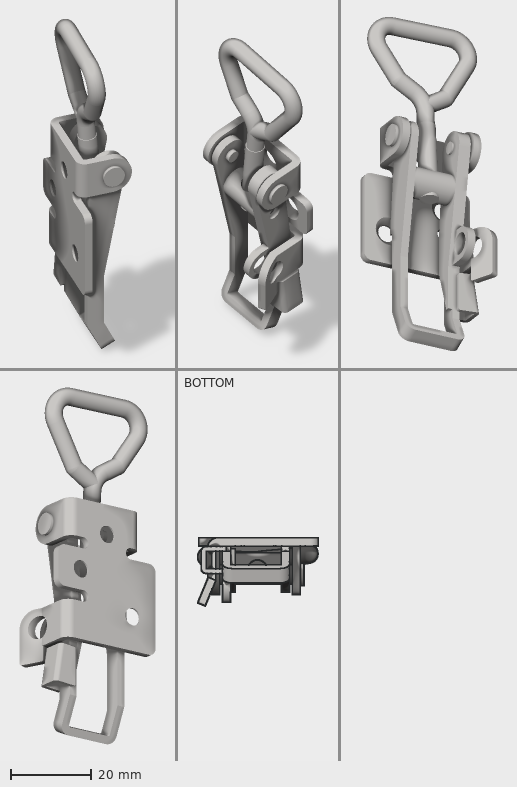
import cadquery as cq
import math


SHEET = 2.1
BEND_OUTER = 2.5
BEND_INNER = BEND_OUTER - SHEET

PLATE_LEFT = -14.3
PLATE_RIGHT = 15.6
PLATE_HEIGHT = 37.0
PLATE_CORNER_R = 2.0
MOUNT_HOLE_R = 2.25
SINK_LAND = 0.5
SINK_R = MOUNT_HOLE_R + SHEET - SINK_LAND
MOUNT_HOLES = [(0.7, 29.1), (-7.4, 18.5), (8.6, 9.0)]
EAR_HEIGHT = 10.0
SLOT_WIDTH = 3.0
LEFT_SLOT_END = -5.1
RIGHT_SLOT_END = 6.5
UPPER_SLOT_TOP = PLATE_HEIGHT - EAR_HEIGHT
TAB_TOP = UPPER_SLOT_TOP - SLOT_WIDTH
TAB_BOTTOM = EAR_HEIGHT + SLOT_WIDTH

EAR_OUTER_X = 11.1
PIVOT_Y = 9.2
PIVOT_Z = PLATE_HEIGHT - EAR_HEIGHT / 2

LOCK_EAR_OUTER_X = 12.1
LOCK_EAR_INNER_X = LOCK_EAR_OUTER_X - SHEET
LOCK_BEND_Y = 10.6
LOCK_LEAF_ANGLE = 22.5
LOCK_LEAF_LENGTH = 6.9
LOCK_LEAF_DROP = 4.1
LOCK_LEAF_TOP_R = 4.7
LOCK_LEAF_BOTTOM_R = 0.6
LOCK_HOLE_R = 3.0
LOCK_HOLE_Y = 11.0
LOCK_HOLE_Z = EAR_HEIGHT / 2

ARM_OUTER_X = 8.4
ARM_INNER_X = ARM_OUTER_X - SHEET
PIVOT_EAR_R = 4.4
ARM_FRONT_Y = 3.3
ARM_BACK_Y = 7.75
ARM_BEND_Z = -13.9
HANDLE_ANGLE = 25.5
HANDLE_LENGTH = 10.1
WIDE_FRONT_Y = 2.2
WIDE_FRONT_Z = 7.9
LEVER_LOCK_Y = 11.7
LEVER_LOCK_HOLE_R = 2.9

RIVET_HEAD_R = 2.8
RIVET_HEAD_HEIGHT = 0.9
RIVET_SHOULDER_R = 2.4
RIVET_SHANK_R = 1.6
LEFT_RIVET_TIP_X = 4.6
RIGHT_RIVET_TIP_X = 5.1

TRUNNION_Y = 7.7
TRUNNION_Z = 21.1
TRUNNION_R = 4.0
TRUNNION_PIN_R = 1.7
TRUNNION_TIP_R = 1.35
TRUNNION_TIP_REACH = 0.7
THREAD_MOUTH_R = 2.7

CATCH_THICKNESS = 1.2
CATCH_INNER_X = ARM_INNER_X - CATCH_THICKNESS
CATCH_FRONT_Y = 2.8
CATCH_BEND_Z = 9.0
CATCH_TIP_FRONT_Y = 6.8
CATCH_BOTTOM_Z = -11.45

CLIP_WALL = 1.2
CLIP_LIP_X = -7.5
CLIP_TOP_Z = -1.2
CLIP_TOP_X = -12.1
CLIP_BOTTOM_X = -13.7
CLIP_BOTTOM_Z = -11.4
CLIP_LIP_DROP = 0.45
CLIP_LIP_CORNER = 0.5

BOLT_X = 0.4
WIRE_R = 2.25
THREAD_R = 2.4
THREAD_TOP_Z = 38.1
THREAD_BOTTOM_Z = TRUNNION_Z - TRUNNION_R
FORK_Z = 42.1
FORK_R = 6.1
LEFT_TIP = (0.6, 43.7)
LEFT_KINK = (-5.4, 47.2)
RIGHT_KINK = (7.6, 49.95)
LOOP_R = 4.8
LOOP_TOP_Z = 65.0
LOOP_LEFT_X = -7.6
LOOP_RIGHT_X = 8.5
BOLT_LEAN = 4.8
LOOP_TURN = -1.8


def cylinder_x(x_start, x_end, radius, y, z):
    """Round bar parallel to X."""
    return cq.Workplane("YZ", origin=(x_start, y, z)).circle(radius).extrude(x_end - x_start)


def block(x_range, y_range, z_range):
    """Box between two limits on each axis."""
    limits = (x_range, y_range, z_range)
    sizes = [high - low for low, high in limits]
    corner = [low for low, high in limits]
    return cq.Workplane("XY").box(*sizes, centered=False).translate(tuple(corner))


def bent_ear(outer_x, root_x, z_low, z_high, reach_y):
    """Sheet strip running from root_x along the plate and bent up at the left, outer face at -outer_x."""
    ear = block((-outer_x, root_x), (0, reach_y), (z_low, z_high))
    ear = ear.edges("|Z and <X and <Y").fillet(BEND_OUTER)
    inside = block((SHEET - outer_x, root_x), (SHEET, reach_y), (z_low, z_high))
    return ear.cut(inside.edges("|Z and <X and <Y").fillet(BEND_INNER))


def make_plate():
    """Flat of the base with its relief slots."""
    upper_half_width = EAR_OUTER_X - BEND_OUTER
    slot_r = SLOT_WIDTH / 2
    body = block((LEFT_SLOT_END - slot_r, PLATE_RIGHT), (0, SHEET), (0, TAB_TOP))
    body = body.edges("|Y and >X").fillet(PLATE_CORNER_R)
    tab = block((PLATE_LEFT, 0), (0, SHEET), (TAB_BOTTOM, TAB_TOP))
    tab = tab.edges("|Y and <X").fillet(PLATE_CORNER_R)
    neck = block((-upper_half_width, upper_half_width), (0, SHEET), (TAB_TOP - slot_r, PLATE_HEIGHT))
    foot = block((-LOCK_EAR_OUTER_X + BEND_OUTER, 0), (0, SHEET), (0, EAR_HEIGHT))
    plate = body.union(tab).union(neck).union(foot)

    left_slot_x = LEFT_SLOT_END - slot_r
    right_slot_x = RIGHT_SLOT_END + slot_r
    slot_ends = [
        (left_slot_x, UPPER_SLOT_TOP - slot_r, PLATE_LEFT),
        (left_slot_x, TAB_BOTTOM - slot_r, PLATE_LEFT),
        (right_slot_x, UPPER_SLOT_TOP - slot_r, PLATE_RIGHT),
    ]
    for end_x, middle_z, edge_x in slot_ends:
        plate = plate.cut(round_y(end_x, middle_z, slot_r))
        x_range = (min(end_x, edge_x), max(end_x, edge_x))
        plate = plate.cut(block(x_range, (0, SHEET), (middle_z - slot_r, middle_z + slot_r)))
    return plate


def round_y(x, z, radius):
    """Straight round cutter through the plate's thickness."""
    return cq.Workplane("XZ", origin=(x, 0, z)).circle(radius).extrude(-SHEET)


def mount_hole(x, z):
    """Cutter for a mounting hole countersunk from the lever's side."""
    straight = round_y(x, z, MOUNT_HOLE_R)
    sink = (
        cq.Workplane("XZ", origin=(x, SINK_LAND, z))
        .circle(MOUNT_HOLE_R)
        .workplane(offset=SINK_LAND - SHEET)
        .circle(SINK_R)
        .loft()
    )
    return straight.union(sink)


def make_pivot_ear():
    """Left upper ear with its rounded end and rivet hole."""
    end_r = EAR_HEIGHT / 2
    ear = bent_ear(EAR_OUTER_X, LEFT_SLOT_END, UPPER_SLOT_TOP, PLATE_HEIGHT, PIVOT_Y)
    inner_x = SHEET - EAR_OUTER_X
    ear = ear.union(cylinder_x(-EAR_OUTER_X, inner_x, end_r, PIVOT_Y, PIVOT_Z))
    return ear.cut(cylinder_x(-EAR_OUTER_X, inner_x, RIVET_SHOULDER_R, PIVOT_Y, PIVOT_Z))


def make_lock_ear():
    """Lower ear whose end leaf turns outwards and has a padlock hole across the bend."""
    ear = bent_ear(LOCK_EAR_OUTER_X, LEFT_SLOT_END, 0, EAR_HEIGHT, LOCK_BEND_Y)
    leaf = block(
        (-LOCK_EAR_OUTER_X, -LOCK_EAR_INNER_X),
        (LOCK_BEND_Y, LOCK_BEND_Y + LOCK_LEAF_LENGTH),
        (-LOCK_LEAF_DROP, EAR_HEIGHT),
    )
    leaf = leaf.edges("|X and >Y and >Z").fillet(LOCK_LEAF_TOP_R)
    leaf = leaf.edges("|X and <Z").fillet(LOCK_LEAF_BOTTOM_R)
    hinge_low = (-LOCK_EAR_INNER_X, LOCK_BEND_Y, 0)
    hinge_high = (-LOCK_EAR_INNER_X, LOCK_BEND_Y, 1)
    bent_leaf = leaf.rotate(hinge_low, hinge_high, LOCK_LEAF_ANGLE)
    leaf_tip_x = -LOCK_EAR_OUTER_X - LOCK_LEAF_LENGTH
    hole = cylinder_x(leaf_tip_x, -LOCK_EAR_INNER_X, LOCK_HOLE_R, LOCK_HOLE_Y, LOCK_HOLE_Z)
    return ear.union(bent_leaf).cut(hole)


def make_base():
    pivot_ear = make_pivot_ear()
    base = make_plate().union(pivot_ear).union(pivot_ear.mirror("YZ")).union(make_lock_ear())
    for x, z in MOUNT_HOLES:
        base = base.cut(mount_hole(x, z))
    return base


def back_tangent_point():
    """Point (y, z) where the straight back edge of the arm meets its pivot ear."""
    return tangent_point((ARM_BACK_Y, 0), (PIVOT_Y, PIVOT_Z), PIVOT_EAR_R, 1)


def tangent_point(start, centre, radius, side):
    """Where a line from start touches a circle; side +1 keeps the circle on the line's left, -1 right."""
    across = centre[0] - start[0]
    up = centre[1] - start[1]
    distance = math.hypot(across, up)
    bearing = math.atan2(up, across) - side * math.asin(radius / distance)
    length = math.sqrt(distance**2 - radius**2)
    return (start[0] + length * math.cos(bearing), start[1] + length * math.sin(bearing))


def make_lever():
    """U-shaped lever: two pivoting arms joined by a handle bar that is bent away from the base."""
    slope = math.radians(HANDLE_ANGLE)
    outward, down = math.sin(slope), -math.cos(slope)
    tip_y = ARM_FRONT_Y + HANDLE_LENGTH * outward
    tip_z = ARM_BEND_Z + HANDLE_LENGTH * down
    handle_width = (ARM_BACK_Y - ARM_FRONT_Y) * math.cos(slope)
    tip_back = (tip_y - handle_width * down, tip_z + handle_width * outward)

    lever = (
        cq.Workplane("YZ", origin=(-ARM_OUTER_X, 0, 0))
        .moveTo(PIVOT_Y - PIVOT_EAR_R, PIVOT_Z)
        .lineTo(WIDE_FRONT_Y, WIDE_FRONT_Z)
        .lineTo(ARM_FRONT_Y, WIDE_FRONT_Z)
        .lineTo(ARM_FRONT_Y, ARM_BEND_Z)
        .lineTo(tip_y, tip_z)
        .lineTo(*tip_back)
        .lineTo(ARM_BACK_Y, ARM_BEND_Z)
        .lineTo(ARM_BACK_Y, 0)
        .lineTo(*back_tangent_point())
        .threePointArc((PIVOT_Y, PIVOT_Z + PIVOT_EAR_R), (PIVOT_Y - PIVOT_EAR_R, PIVOT_Z))
        .close()
        .extrude(2 * ARM_OUTER_X)
    )
    tip_middle_y = (tip_y + tip_back[0]) / 2
    tip_middle_z = (tip_z + tip_back[1]) / 2
    for x in (-ARM_OUTER_X, ARM_OUTER_X):
        corner = cq.selectors.NearestToPointSelector((x, tip_middle_y, tip_middle_z))
        lever = lever.edges(corner).fillet(BEND_OUTER)

    space_half_depth = HANDLE_LENGTH * 3
    inside = block(
        (-ARM_INNER_X, ARM_INNER_X),
        (-space_half_depth, space_half_depth),
        (SHEET, 2 * PLATE_HEIGHT),
    )
    inside = inside.edges("|Y and <Z").fillet(BEND_INNER)
    inside = inside.rotate((0, 0, 0), (1, 0, 0), HANDLE_ANGLE).translate((0, tip_y, tip_z))
    return finish_arms(lever.cut(inside))


def finish_arms(lever):
    """Adds the padlock ear on the left arm and the pivot holes in both arms."""
    ear_low = LOCK_HOLE_Z - PIVOT_EAR_R
    ear_high = LOCK_HOLE_Z + PIVOT_EAR_R
    left_arm = (-ARM_OUTER_X, -ARM_INNER_X)
    lever = lever.union(block(left_arm, (ARM_BACK_Y - SHEET, LEVER_LOCK_Y), (ear_low, ear_high)))
    lever = lever.union(cylinder_x(*left_arm, PIVOT_EAR_R, LEVER_LOCK_Y, LOCK_HOLE_Z))
    lever = lever.cut(cylinder_x(*left_arm, LEVER_LOCK_HOLE_R, LEVER_LOCK_Y, LOCK_HOLE_Z))
    lever = lever.cut(cylinder_x(-ARM_OUTER_X, ARM_OUTER_X, RIVET_SHANK_R, PIVOT_Y, PIVOT_Z))
    return lever.cut(cylinder_x(-ARM_OUTER_X, ARM_OUTER_X, TRUNNION_PIN_R, TRUNNION_Y, TRUNNION_Z))


def make_rivet(side, tip_x):
    """Pivot rivet of one ear: head outside, shoulder in the ear, shank in the lever; side is -1 or 1."""
    head = cylinder_x(EAR_OUTER_X, EAR_OUTER_X + RIVET_HEAD_HEIGHT, RIVET_HEAD_R, PIVOT_Y, PIVOT_Z)
    shoulder = cylinder_x(ARM_OUTER_X, EAR_OUTER_X, RIVET_SHOULDER_R, PIVOT_Y, PIVOT_Z)
    shank = cylinder_x(tip_x, ARM_OUTER_X, RIVET_SHANK_R, PIVOT_Y, PIVOT_Z)
    rivet = head.union(shoulder).union(shank)
    return rivet if side > 0 else rivet.mirror("YZ")


def lean(body):
    """Tips a body on the bolt's axis towards the base, about the trunnion's axis."""
    return body.rotate((0, TRUNNION_Y, TRUNNION_Z), (1, TRUNNION_Y, TRUNNION_Z), BOLT_LEAN)


def bolt_cylinder(radius, z_low, z_high):
    """Upright round bar on the bolt's axis, before leaning."""
    return cq.Workplane("XY", origin=(BOLT_X, TRUNNION_Y, z_low)).circle(radius).extrude(z_high - z_low)


def make_trunnion():
    """Cross barrel with a journal at each end and a threaded hole widened at its mouth."""
    barrel = cylinder_x(-CATCH_INNER_X, ARM_INNER_X, TRUNNION_R, TRUNNION_Y, TRUNNION_Z)
    right_journal = cylinder_x(ARM_INNER_X, ARM_OUTER_X, TRUNNION_PIN_R, TRUNNION_Y, TRUNNION_Z)
    left_end_x = -ARM_INNER_X - TRUNNION_TIP_REACH
    left_journal = cylinder_x(left_end_x, -CATCH_INNER_X, TRUNNION_TIP_R, TRUNNION_Y, TRUNNION_Z)
    trunnion = barrel.union(right_journal).union(left_journal)
    thread = lean(bolt_cylinder(THREAD_R, TRUNNION_Z - 2 * TRUNNION_R, PLATE_HEIGHT))
    mouth = lean(bolt_cylinder(THREAD_MOUTH_R, TRUNNION_Z, PLATE_HEIGHT))
    return trunnion.cut(thread).cut(mouth)


def make_catch_plate():
    """Thin plate inside the left arm, with a tail that tapers down the arm."""
    catch = (
        cq.Workplane("YZ", origin=(-ARM_INNER_X, 0, 0))
        .moveTo(PIVOT_Y - PIVOT_EAR_R, PIVOT_Z)
        .lineTo(CATCH_FRONT_Y, CATCH_BEND_Z)
        .lineTo(CATCH_FRONT_Y, 0)
        .lineTo(CATCH_TIP_FRONT_Y, CATCH_BOTTOM_Z)
        .lineTo(ARM_BACK_Y, CATCH_BOTTOM_Z)
        .lineTo(ARM_BACK_Y, 0)
        .lineTo(*back_tangent_point())
        .threePointArc((PIVOT_Y, PIVOT_Z + PIVOT_EAR_R), (PIVOT_Y - PIVOT_EAR_R, PIVOT_Z))
        .close()
        .extrude(CATCH_THICKNESS)
    )
    x_range = (-ARM_INNER_X, -CATCH_INNER_X)
    catch = catch.cut(cylinder_x(*x_range, RIVET_SHANK_R, PIVOT_Y, PIVOT_Z))
    return catch.cut(cylinder_x(*x_range, TRUNNION_TIP_R, TRUNNION_Y, TRUNNION_Z))


def clip_prism(wall_offset, overrun, y_low, y_high):
    """Clip outline, its sloping side moved right and its ends lengthened, between Y limits."""
    return (
        cq.Workplane("XZ", origin=(0, y_low, 0))
        .moveTo(CLIP_TOP_X + wall_offset, CLIP_TOP_Z + overrun)
        .lineTo(CLIP_LIP_X, CLIP_TOP_Z - CLIP_LIP_DROP + overrun)
        .lineTo(CLIP_LIP_X, CLIP_BOTTOM_Z - CLIP_LIP_DROP - overrun)
        .lineTo(CLIP_BOTTOM_X + wall_offset, CLIP_BOTTOM_Z - overrun)
        .close()
        .extrude(y_low - y_high)
    )


def make_clip():
    """Channel clasping the left arm from outside, its outer wall flaring downwards."""
    clip = clip_prism(0, 0, ARM_FRONT_Y - CLIP_WALL, ARM_BACK_Y + CLIP_WALL)
    clip = clip.faces("<X").edges("<Y or >Y").fillet(CLIP_WALL)
    clip = clip.edges("|Y and >X").fillet(CLIP_LIP_CORNER)
    return clip.cut(clip_prism(CLIP_WALL, CLIP_LIP_DROP, ARM_FRONT_Y, ARM_BACK_Y))


def make_hook_bolt():
    """Bolt whose wire is bent into a closed loop, leaning towards the base."""
    loop_z = LOOP_TOP_Z - LOOP_R
    left_centre = (LOOP_LEFT_X, loop_z)
    right_centre = (LOOP_RIGHT_X, loop_z)
    fork_centre = (BOLT_X + FORK_R, FORK_Z)
    wire_path = (
        cq.Workplane("XZ", origin=(0, TRUNNION_Y, 0))
        .moveTo(BOLT_X, THREAD_TOP_Z)
        .lineTo(BOLT_X, FORK_Z)
        .tangentArcPoint(tangent_point(RIGHT_KINK, fork_centre, FORK_R, 1), relative=False)
        .lineTo(*RIGHT_KINK)
        .lineTo(*tangent_point(RIGHT_KINK, right_centre, LOOP_R, 1))
        .tangentArcPoint((LOOP_RIGHT_X, LOOP_TOP_Z), relative=False)
        .lineTo(LOOP_LEFT_X, LOOP_TOP_Z)
        .tangentArcPoint(tangent_point(LEFT_KINK, left_centre, LOOP_R, -1), relative=False)
        .lineTo(*LEFT_KINK)
        .lineTo(*LEFT_TIP)
    )
    section = cq.Workplane("XY", origin=(BOLT_X, TRUNNION_Y, THREAD_TOP_Z)).circle(WIRE_R)
    loop = section.sweep(wire_path, transition="round")
    loop = loop.rotate((BOLT_X, TRUNNION_Y, 0), (BOLT_X, TRUNNION_Y, 1), LOOP_TURN)
    return lean(loop.union(bolt_cylinder(THREAD_R, THREAD_BOTTOM_Z, THREAD_TOP_Z)))


base = make_base()
lever = make_lever()
rivets = [make_rivet(side, tip_x) for side, tip_x in ((-1, LEFT_RIVET_TIP_X), (1, RIGHT_RIVET_TIP_X))]
trunnion = make_trunnion()
catch_plate = make_catch_plate()
clip = make_clip()
hook_bolt = make_hook_bolt()

bodies = [base, lever, *rivets, trunnion, catch_plate, clip, hook_bolt]
result = cq.Compound.makeCompound([body.solids().val() for body in bodies])